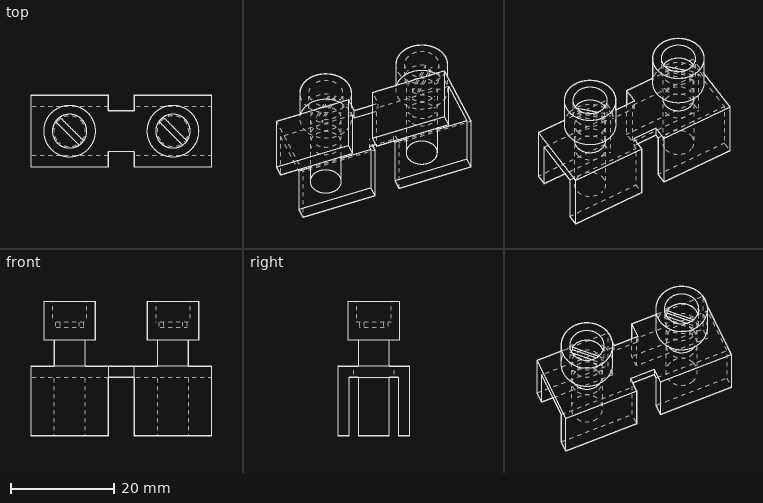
import cadquery as cq

saddle_length = 35.0
saddle_width = 13.9
saddle_height = 13.5
sheet_thickness = 2.2

waist_length = 5.0
waist_depth = 3.0

screw_spacing = 20.0
shank_diameter = 6.0
head_diameter = 10.0
head_height = 7.5
head_clearance = 5.0
socket_diameter = 6.6
socket_depth = 4.0
slot_width = 1.2
slot_depth = 1.0
slot_angle = -45.0

head_bottom = saddle_height + head_clearance
head_top = head_bottom + head_height
socket_floor = head_top - socket_depth


def make_saddle():
    """Inverted U channel, centred in X and Y with its feet on Z = 0."""
    channel = cq.Workplane("XY").box(
        saddle_length, saddle_width, saddle_height, centered=(True, True, False)
    )
    cavity = cq.Workplane("XY").box(
        saddle_length,
        saddle_width - 2 * sheet_thickness,
        saddle_height - sheet_thickness,
        centered=(True, True, False),
    )
    return channel.cut(cavity)


def make_waist_notch(side):
    """Full-height notch on one long side; side is +1 or -1 along Y."""
    notch_center = side * (saddle_width - waist_depth) / 2
    return (
        cq.Workplane("XY")
        .center(0, notch_center)
        .rect(waist_length, waist_depth)
        .extrude(saddle_height)
    )


def make_screw():
    """Screw on the Z axis: shank, hollow head and a slot in the socket floor."""
    shank = cq.Workplane("XY").circle(shank_diameter / 2).extrude(head_bottom)
    head = (
        cq.Workplane("XY", origin=(0, 0, head_bottom))
        .circle(head_diameter / 2)
        .extrude(head_height)
    )
    socket = (
        cq.Workplane("XY", origin=(0, 0, socket_floor))
        .circle(socket_diameter / 2)
        .extrude(socket_depth)
    )
    slot_plane = cq.Workplane("XY", origin=(0, 0, socket_floor - slot_depth))
    slot_limit = slot_plane.circle(socket_diameter / 2).extrude(slot_depth)
    slot_bar = (
        slot_plane.transformed(rotate=(0, 0, slot_angle))
        .rect(socket_diameter, slot_width)
        .extrude(slot_depth)
    )
    slot = slot_bar.intersect(slot_limit)
    return shank.union(head).cut(socket).cut(slot)


result = make_saddle()
for side in (-1, 1):
    result = result.cut(make_waist_notch(side))
for side in (-1, 1):
    screw_x = side * screw_spacing / 2
    result = result.union(make_screw().translate((screw_x, 0, 0)))